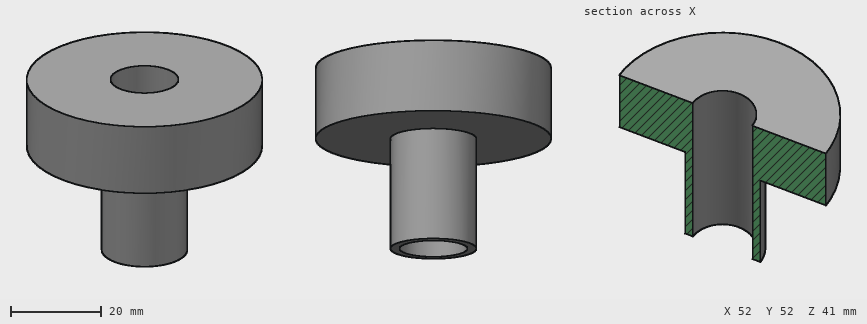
import cadquery as cq

head_diameter = 52.0
stem_diameter = 19.0
bore_diameter = 15.0
total_height = 41.0
head_height = 16.0
stem_length = total_height - head_height

stem = cq.Workplane("XY").circle(stem_diameter / 2).extrude(stem_length)
head = (
    cq.Workplane("XY")
    .workplane(offset=stem_length)
    .circle(head_diameter / 2)
    .extrude(head_height)
)

bore = cq.Workplane("XY").circle(bore_diameter / 2).extrude(total_height)

result = stem.union(head).cut(bore)